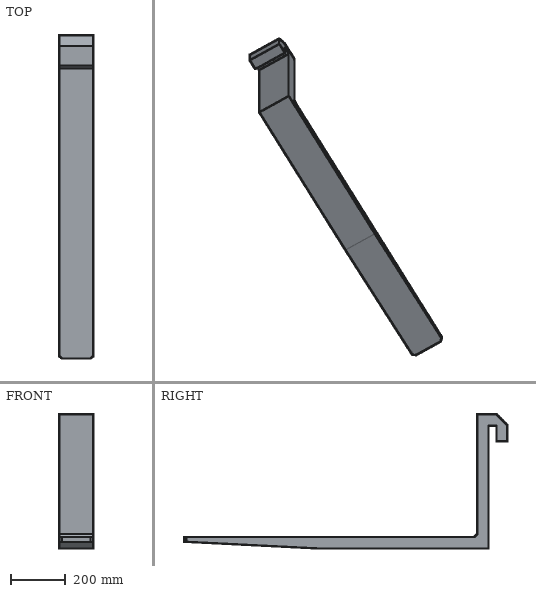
import cadquery as cq

length = 1177.0
width = 125.0
height = 490.0

bar_thickness = 42.0
hook_thickness = 40.0
hook_gap = 28.0
hook_drop = 99.0
hook_chamfer = 40.0
inner_chamfer = 11.0

taper_length = 490.0
tip_thickness = 18.0
tip_corner_width = 11.0
tip_corner_length = 8.0

tip_y = -length / 2
hook_y = length / 2
hook_inner_y = hook_y - hook_thickness
shank_back_y = hook_inner_y - hook_gap
shank_front_y = shank_back_y - bar_thickness
blade_top_z = bar_thickness
hook_underside_z = height - bar_thickness
hook_tip_z = height - hook_drop


def fork_body():
    """Side profile of blade, shank and hook, extruded across the width."""
    profile = (
        cq.Workplane("YZ")
        .moveTo(shank_back_y, 0)
        .lineTo(tip_y + taper_length, 0)
        .lineTo(tip_y, blade_top_z - tip_thickness)
        .lineTo(tip_y, blade_top_z)
        .lineTo(shank_front_y - inner_chamfer, blade_top_z)
        .lineTo(shank_front_y, blade_top_z + inner_chamfer)
        .lineTo(shank_front_y, height)
        .lineTo(hook_y - hook_chamfer, height)
        .lineTo(hook_y, height - hook_chamfer)
        .lineTo(hook_y, hook_tip_z)
        .lineTo(hook_inner_y, hook_tip_z)
        .lineTo(hook_inner_y, hook_underside_z)
        .lineTo(shank_back_y, hook_underside_z)
        .close()
    )
    return profile.extrude(width / 2, both=True)


def tip_corner_cut(side):
    """Triangular prism that bevels one tip corner; side is -1 or 1 along X."""
    edge_x = side * width / 2
    return (
        cq.Workplane("XY")
        .moveTo(edge_x, tip_y)
        .lineTo(edge_x - side * tip_corner_width, tip_y)
        .lineTo(edge_x, tip_y + tip_corner_length)
        .close()
        .extrude(blade_top_z)
    )


result = fork_body()
for side in (-1, 1):
    result = result.cut(tip_corner_cut(side))